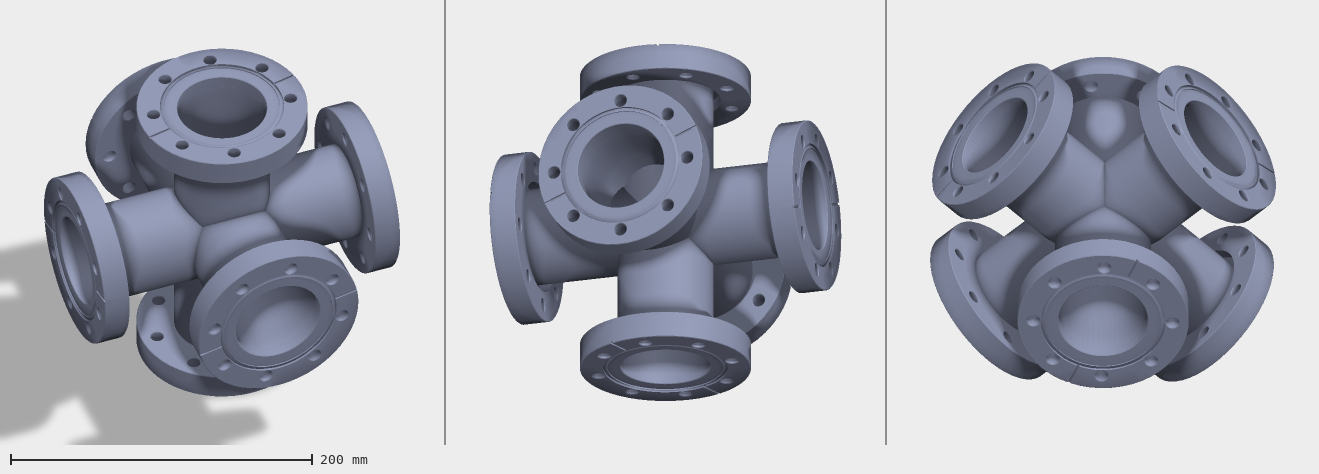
import cadquery as cq


span = 209.5
face_offset = span / 2

tube_diameter = 63.7
tube_bore = 59.5

flange_diameter = 113.5
flange_thickness = 17.6
ring_bore = 73.5
bore_depth = 9.5
edge_chamfer = 0.5

recess_diameter = 82.4
recess_depth = 1.7
knife_diameter = 77.0
knife_setback = 0.5
seat_depth = 1.3

bolt_count = 8
bolt_pitch = 360 / bolt_count
bolt_circle = 92.2
bolt_hole = 8.5
groove_width = 1.7
groove_depth = 1.3
groove_angle = bolt_pitch / 2

ring_turn = -11.0

back_level = face_offset - flange_thickness
tube_end = face_offset - bore_depth
recess_level = face_offset - recess_depth
knife_level = face_offset - knife_setback
seat_level = face_offset - seat_depth

x_axis = cq.Vector(1, 0, 0)
y_axis = cq.Vector(0, 1, 0)
z_axis = cq.Vector(0, 0, 1)

fixed_arms = [(-x_axis, y_axis), (y_axis, x_axis), (-z_axis, y_axis)]
rotatable_arms = [(x_axis, y_axis), (-y_axis, x_axis), (z_axis, y_axis)]


def place(body, arm, turn=0.0):
    """Turn a body built along +Z about its axis, then point it along an arm."""
    direction, first_hole = arm
    plane = cq.Plane(origin=(0, 0, 0), xDir=first_hole, normal=direction)
    turned = body.solids().val().rotate(cq.Vector(), z_axis, turn)
    return turned.moved(cq.Location(plane))


def cylinder(diameter, bottom, top):
    return cq.Workplane("XY").workplane(offset=bottom).circle(diameter / 2).extrude(top - bottom)


def bevel(diameter, level, depth):
    """Cone that breaks a hole edge at a level; a negative depth points the cone down."""
    wide = cq.Workplane("XY").workplane(offset=level).circle(diameter / 2 + abs(depth))
    return wide.workplane(offset=depth).circle(diameter / 2).loft()


def three_axis_bars(diameter):
    bar = cylinder(diameter, -tube_end, tube_end)
    bars = bar
    for axis in ((1, 0, 0), (0, 1, 0)):
        bars = bars.union(bar.rotate((0, 0, 0), axis, 90))
    return bars


def make_tube_cross():
    return three_axis_bars(tube_diameter).cut(three_axis_bars(tube_bore))


def recess_cutter():
    """Space removed from the sealing face, leaving the sloped knife edge."""
    profile = [
        (0, face_offset),
        (recess_diameter / 2, face_offset),
        (recess_diameter / 2, recess_level),
        (knife_diameter / 2, knife_level),
        (knife_diameter / 2, seat_level),
        (0, seat_level),
    ]
    return cq.Workplane("XZ").polyline(profile).close().revolve(360, (0, 0, 0), (0, 1, 0))


def bore_cutter():
    bore = cylinder(tube_bore, tube_end, face_offset)
    return bore.union(bevel(tube_bore, seat_level, -edge_chamfer))


def bolt_hole_cutter():
    """Through holes, bevelled at both faces of the flange."""
    hole = (
        cylinder(bolt_hole, back_level, face_offset)
        .union(bevel(bolt_hole, face_offset, -edge_chamfer))
        .union(bevel(bolt_hole, back_level, edge_chamfer))
        .translate((bolt_circle / 2, 0, 0))
    )
    holes = [hole.val().rotate(cq.Vector(), z_axis, i * bolt_pitch) for i in range(bolt_count)]
    return cq.Workplane("XY").newObject(holes).combine()


def groove_cutter():
    groove = cq.Workplane("XY").box(
        flange_diameter, groove_width, groove_depth, centered=(True, True, False)
    )
    bar = groove.translate((0, 0, face_offset - groove_depth)).rotate((0, 0, 0), (0, 0, 1), groove_angle)
    return bar.cut(cylinder(recess_diameter, back_level, face_offset))


def flange_disc():
    """Flange with all its features but no opening for the tube in its back."""
    blank = cylinder(flange_diameter, back_level, face_offset).edges("%CIRCLE").chamfer(edge_chamfer)
    return (
        blank
        .cut(recess_cutter())
        .cut(bore_cutter())
        .cut(bolt_hole_cutter())
        .cut(groove_cutter())
    )


def make_fixed_flange():
    """Flange with a socket in its back that the tube fills."""
    return flange_disc().cut(cylinder(tube_diameter, back_level, tube_end))


def insert_envelope():
    return cylinder(recess_diameter, tube_end, face_offset)


def make_insert():
    """Disc with the knife edge, butted against the end of the tube."""
    return flange_disc().intersect(insert_envelope())


def make_bolt_ring():
    """Rest of the flange, with a lip behind the insert that clears the tube."""
    lip_bore = cylinder(ring_bore, back_level, tube_end)
    return flange_disc().cut(insert_envelope()).cut(lip_bore)


tube_cross = make_tube_cross()
fixed_flanges = [place(make_fixed_flange(), arm) for arm in fixed_arms]
inserts = [place(make_insert(), arm, ring_turn) for arm in rotatable_arms]
bolt_rings = [place(make_bolt_ring(), arm, ring_turn) for arm in rotatable_arms]

result = cq.Compound.makeCompound([tube_cross.solids().val(), *fixed_flanges, *inserts, *bolt_rings])